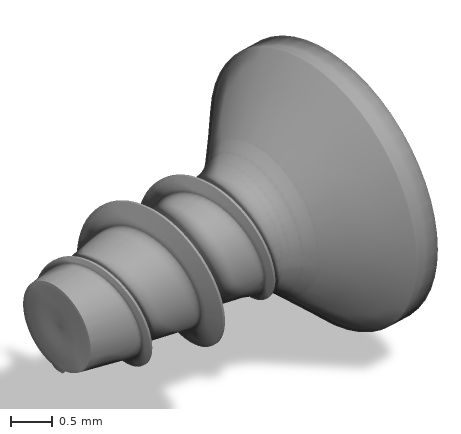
import cadquery as cq
import math


length = 4.5
head_radius = 3.8 / 2

rim_height = 0.35
rim_edge_radius = 0.03
countersink_angle = math.radians(45)
countersink_end_radius = 1.05
countersink_end_depth = rim_height + (head_radius - countersink_end_radius) / math.tan(countersink_angle)

neck_mid_depth = 1.43
neck_mid_radius = 0.89
neck_end_depth = 1.72
neck_end_radius = 0.81
neck_taper_end_depth = 2.35
neck_taper_end_radius = 0.62

root_radius = 0.655
root_tip_radius = 0.6
root_taper_start_depth = 3.9
shank_taper = math.tan(math.radians(10))
tip_radius = 0.61
tip_rim_width = 0.03
tip_dimple_depth = 0.05

pitch = 0.977
thread_start_depth = 1.56
crest_start_radius = 0.87
crest_growth = 0.19
crest_full_radius = 1.1
crest_fade = 0.31
fade_start_turns = 1.47
crest_end_radius = 0.65
crest_width = 0.03
flank_slope = math.tan(math.radians(17.5))

swell_radius = 0.785

shank_start_turns = -0.5
shank_turn_count = 4
points_per_turn = 16


def crest_depth(turns):
    return thread_start_depth + pitch * turns


def crest_radius(turns):
    growing = crest_start_radius + crest_growth * turns
    fading = crest_full_radius - crest_fade * (turns - fade_start_turns)
    return max(min(growing, crest_full_radius, fading), crest_end_radius)


def root_radius_at(depth):
    taper = (root_radius - root_tip_radius) / (length - root_taper_start_depth)
    return root_radius - taper * max(depth - root_taper_start_depth, 0)


def half_width(turns, radius):
    """Half of the axial thread thickness at a radius."""
    return crest_width / 2 + (crest_radius(turns) - radius) * flank_slope


def front_foot(turns):
    """Radius and depth of the foot of the head-side flank, where the core is slimmest."""
    radius = root_radius_at(crest_depth(turns))
    return radius, crest_depth(turns) - half_width(turns, radius)


def front_crest(turns):
    return crest_radius(turns), crest_depth(turns) - crest_width / 2


def back_crest(turns):
    return crest_radius(turns), crest_depth(turns) + crest_width / 2


def back_foot(turns):
    """Radius and depth of the foot of the tip-side flank, where the core is widest."""
    tip_cone_radius = tip_radius + (length - crest_depth(turns)) * shank_taper
    radius = min(swell_radius, tip_cone_radius)
    return radius, crest_depth(turns) + half_width(turns, radius)


def next_front_foot(turns):
    return front_foot(turns + 1)


turn_profile = [front_foot, front_crest, back_crest, back_foot, next_front_foot]


def axis_point(corner, turns):
    return cq.Vector(0, -corner(turns)[1], 0)


def helix_point(corner, turns):
    """Right-handed: whole turns lie on the -Z side, quarter turns on the +X side."""
    radius, depth = corner(turns)
    angle = 2 * math.pi * turns
    return cq.Vector(radius * math.sin(angle), -depth, -radius * math.cos(angle))


def helix_edge(corner, start):
    """One turn of the helical curve that a profile corner follows."""
    turns = [start + i / points_per_turn for i in range(points_per_turn + 1)]
    return cq.Edge.makeSpline([helix_point(corner, turn) for turn in turns])


def end_ramp(corner, start):
    """Helicoid from the axis to a profile corner, one turn long, closing an end of the shank."""
    axis = cq.Edge.makeLine(axis_point(corner, start), axis_point(corner, start + 1))
    return cq.Face.makeRuledSurface(helix_edge(corner, start), axis)


def end_step(turns):
    """Flat face from the axis to the thread profile, closing one end of the shank."""
    outline = [helix_point(corner, turns) for corner in turn_profile]
    outline += [axis_point(next_front_foot, turns), axis_point(front_foot, turns)]
    return cq.Face.makeFromWires(cq.Wire.makePolygon(outline, close=True))


def helical_shank():
    """Core and thread in one: each turn's profile ends where the next turn's begins."""
    last_start_turns = shank_start_turns + shank_turn_count - 1
    faces = [
        end_step(shank_start_turns),
        end_ramp(front_foot, shank_start_turns),
        end_step(shank_start_turns + shank_turn_count),
        end_ramp(next_front_foot, last_start_turns),
    ]
    for i in range(shank_turn_count):
        edges = [helix_edge(corner, shank_start_turns + i) for corner in turn_profile]
        for first, second in zip(edges, edges[1:]):
            faces.append(cq.Face.makeRuledSurface(first, second))
    solid = cq.Solid.makeSolid(cq.Shell.makeShell(faces))
    return cq.Workplane(obj=solid.fix())


def revolve_about_axis(profile):
    return profile.close().revolve(360, (0, 0, 0), (0, 1, 0))


def head_and_neck():
    blend = rim_edge_radius * math.tan(countersink_angle / 2)
    blend_end_radius = head_radius - blend * math.sin(countersink_angle)
    blend_end_depth = rim_height + blend * math.cos(countersink_angle)
    profile = (
        cq.Workplane("XY")
        .lineTo(head_radius - rim_edge_radius, 0)
        .radiusArc((head_radius, -rim_edge_radius), rim_edge_radius)
        .lineTo(head_radius, blend - rim_height)
        .radiusArc((blend_end_radius, -blend_end_depth), rim_edge_radius)
        .lineTo(countersink_end_radius, -countersink_end_depth)
        .threePointArc((neck_mid_radius, -neck_mid_depth), (neck_end_radius, -neck_end_depth))
        .lineTo(neck_taper_end_radius, -neck_taper_end_depth)
        .lineTo(0, -neck_taper_end_depth)
    )
    return revolve_about_axis(profile)


def beyond_tip():
    """Space past the tip, including the shallow conical tip dimple."""
    rim_radius = tip_radius - tip_rim_width
    end_depth = length + 2 * pitch
    profile = (
        cq.Workplane("XY")
        .moveTo(0, tip_dimple_depth - length)
        .lineTo(rim_radius, -length)
        .lineTo(head_radius, -length)
        .lineTo(head_radius, -end_depth)
        .lineTo(0, -end_depth)
    )
    return revolve_about_axis(profile)


shank = helical_shank().cut(beyond_tip())
result = head_and_neck().union(shank)